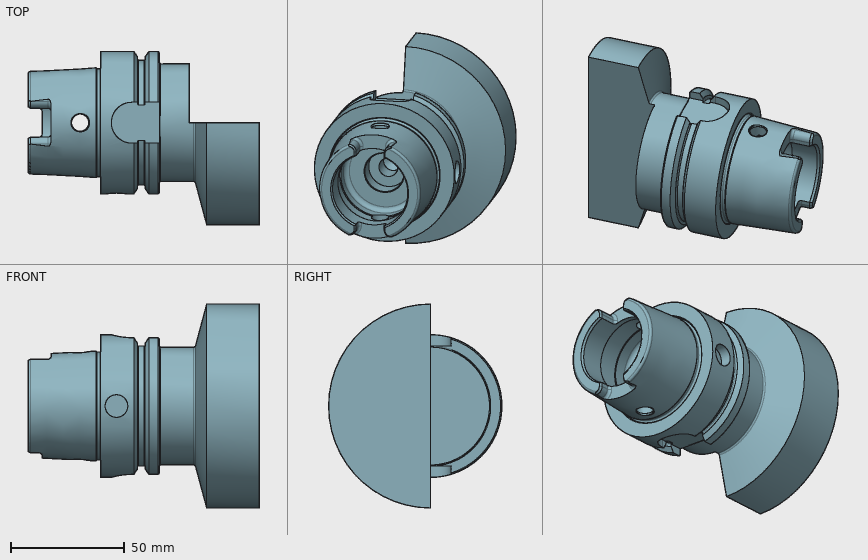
import cadquery as cq
import math

TOTAL_LENGTH = 101.9
TAPER_END = 29.9
FLANGE_FACE = 32.0
FLANGE_END = 57.9
NECK_END = 71.0
HEAD_START = 78.7

TAPER_TIP_RADIUS = 22.7
TAPER_END_RADIUS = 24.3
UNDERCUT_RADIUS = 23.8
FLANGE_RADIUS = 31.5
NECK_RADIUS = 26.0
HEAD_DIAMETER = 90.0
HEAD_RADIUS = HEAD_DIAMETER / 2
HEAD_BACK_ANGLE = 15.0

TIP_ROUND = 1.1
UNDERCUT_RAMP = 0.5
FACE_RECESS_RADIUS = 25.2
FACE_RECESS_DEPTH = 0.4
FLANGE_CHAMFER = 0.6
NECK_ROOT_FILLET = 0.5
HEAD_ROOT_FILLET = 0.8

GROOVE_LEFT = 48.2
GROOVE_RIGHT = 51.6
GROOVE_RADIUS = 27.6
GROOVE_LIP_RADIUS = 29.1
GROOVE_LIP_LENGTH = 1.6
GROOVE_FILLET = 0.4

BORE_RADIUS = 16.9
BORE_LENGTH = 12.7
CHAMBER_RADIUS = 18.4
CHAMBER_END_RADIUS = 17.9
CHAMBER_STEP = 24.2
CHAMBER_FILLET = 2.2
CHAMBER_END = 32.0
THREAD_RADIUS = 8.8
THREAD_CHAMFER = 0.3
THREAD_END = 40.8
DRILL_RADIUS = 4.2
DRILL_END = 51.0
DRILL_TIP_ANGLE = 118.0

LEAD_IN_LENGTH = 1.1
LEAD_IN_WIDTH = 0.6

NOTCH_HALF_WIDTH = 6.3
NOTCH_CORNER_RADIUS = 3.1
NOTCH_SHOULDER = 20.7
NOTCH_FLOOR_FILLET = 1.3
TOP_NOTCH_DEPTH = 10.1
BOTTOM_NOTCH_DEPTH = 6.1

CROSS_HOLE_X = 22.9
CROSS_HOLE_DIAMETER = 7.5
CROSS_HOLE_SINK_WIDTH = 0.4
CROSS_HOLE_SINK_DEPTH = 0.9

KEYWAY_START = 36.7
KEYWAY_WIDTH = 18.0
KEYWAY_FLOOR = 26.5
CHIP_X = 38.9
CHIP_DIAMETER = 10.0
CHIP_DEPTH = 5.1


def revolve_about_x(profile):
    """Full turn of a closed (x, radius) profile about the X axis."""
    return profile.close().revolve(360, (0, 0, 0), (1, 0, 0))


def make_shank_and_neck():
    ramp_end = TAPER_END + UNDERCUT_RAMP
    recess_floor = FLANGE_FACE + FACE_RECESS_DEPTH
    recess_bottom_radius = FACE_RECESS_RADIUS - FACE_RECESS_DEPTH
    recess_fillet = recess_bottom_radius - UNDERCUT_RADIUS
    profile = (
        cq.Workplane("XZ")
        .moveTo(0, 0)
        .lineTo(0, TAPER_TIP_RADIUS - TIP_ROUND)
        .radiusArc((TIP_ROUND, TAPER_TIP_RADIUS), TIP_ROUND)
        .lineTo(TAPER_END, TAPER_END_RADIUS)
        .lineTo(ramp_end, UNDERCUT_RADIUS)
        .lineTo(recess_floor - recess_fillet, UNDERCUT_RADIUS)
        .radiusArc((recess_floor, recess_bottom_radius), -recess_fillet)
        .lineTo(FLANGE_FACE, FACE_RECESS_RADIUS)
        .lineTo(FLANGE_FACE, FLANGE_RADIUS)
        .lineTo(GROOVE_LEFT - GROOVE_LIP_LENGTH, FLANGE_RADIUS)
        .lineTo(GROOVE_LEFT, GROOVE_LIP_RADIUS)
        .lineTo(GROOVE_LEFT, GROOVE_RADIUS + GROOVE_FILLET)
        .radiusArc((GROOVE_LEFT + GROOVE_FILLET, GROOVE_RADIUS), -GROOVE_FILLET)
        .lineTo(GROOVE_RIGHT - GROOVE_FILLET, GROOVE_RADIUS)
        .radiusArc((GROOVE_RIGHT, GROOVE_RADIUS + GROOVE_FILLET), -GROOVE_FILLET)
        .lineTo(GROOVE_RIGHT, GROOVE_LIP_RADIUS)
        .lineTo(GROOVE_RIGHT + GROOVE_LIP_LENGTH, FLANGE_RADIUS)
        .lineTo(FLANGE_END - FLANGE_CHAMFER, FLANGE_RADIUS)
        .lineTo(FLANGE_END, FLANGE_RADIUS - FLANGE_CHAMFER)
        .lineTo(FLANGE_END, NECK_RADIUS + NECK_ROOT_FILLET)
        .radiusArc((FLANGE_END + NECK_ROOT_FILLET, NECK_RADIUS), -NECK_ROOT_FILLET)
        .lineTo(NECK_END, NECK_RADIUS)
        .lineTo(NECK_END, 0)
    )
    return revolve_about_x(profile)


def make_half_head():
    """Head on the -Y side only, with a conical back blended into the neck."""
    back_angle = math.radians(HEAD_BACK_ANGLE)
    root_x = HEAD_START - (HEAD_RADIUS - NECK_RADIUS) * math.tan(back_angle)
    tangent = HEAD_ROOT_FILLET * math.tan((math.pi / 2 - back_angle) / 2)
    blend_end = (
        root_x + tangent * math.sin(back_angle),
        NECK_RADIUS + tangent * math.cos(back_angle),
    )
    profile = (
        cq.Workplane("XZ")
        .moveTo(FLANGE_END, 0)
        .lineTo(FLANGE_END, NECK_RADIUS)
        .lineTo(root_x - tangent, NECK_RADIUS)
        .radiusArc(blend_end, -HEAD_ROOT_FILLET)
        .lineTo(HEAD_START, HEAD_RADIUS)
        .lineTo(TOTAL_LENGTH, HEAD_RADIUS)
        .lineTo(TOTAL_LENGTH, 0)
    )
    kept_half = cq.Workplane("XY").box(
        TOTAL_LENGTH, 2 * HEAD_RADIUS, 2 * HEAD_RADIUS, centered=(False, False, True)
    ).translate((0, -2 * HEAD_RADIUS, 0))
    return revolve_about_x(profile).intersect(kept_half)


def make_bore():
    drill_tip = DRILL_END + DRILL_RADIUS / math.tan(math.radians(DRILL_TIP_ANGLE / 2))
    profile = (
        cq.Workplane("XZ")
        .moveTo(0, 0)
        .lineTo(0, BORE_RADIUS + LEAD_IN_WIDTH)
        .lineTo(LEAD_IN_LENGTH, BORE_RADIUS)
        .lineTo(BORE_LENGTH, BORE_RADIUS)
        .lineTo(BORE_LENGTH, CHAMBER_RADIUS)
        .lineTo(CHAMBER_STEP, CHAMBER_RADIUS)
        .lineTo(CHAMBER_STEP, CHAMBER_END_RADIUS)
        .lineTo(CHAMBER_END - CHAMBER_FILLET, CHAMBER_END_RADIUS)
        .radiusArc((CHAMBER_END, CHAMBER_END_RADIUS - CHAMBER_FILLET), CHAMBER_FILLET)
        .lineTo(CHAMBER_END, THREAD_RADIUS + THREAD_CHAMFER)
        .lineTo(CHAMBER_END + THREAD_CHAMFER, THREAD_RADIUS)
        .lineTo(THREAD_END, THREAD_RADIUS)
        .lineTo(THREAD_END, DRILL_RADIUS)
        .lineTo(DRILL_END, DRILL_RADIUS)
        .lineTo(drill_tip, 0)
    )
    return revolve_about_x(profile)


def notch_outline():
    """Notch section: straight walls that flare outward over rounded shoulders."""
    wall_end = NOTCH_SHOULDER - NOTCH_CORNER_RADIUS
    flare = NOTCH_HALF_WIDTH + NOTCH_CORNER_RADIUS
    outer = FLANGE_RADIUS
    return (
        cq.Workplane("YZ")
        .moveTo(-NOTCH_HALF_WIDTH, 0)
        .lineTo(-NOTCH_HALF_WIDTH, wall_end)
        .radiusArc((-flare, NOTCH_SHOULDER), -NOTCH_CORNER_RADIUS)
        .lineTo(-outer, NOTCH_SHOULDER)
        .lineTo(-outer, outer)
        .lineTo(outer, outer)
        .lineTo(outer, NOTCH_SHOULDER)
        .lineTo(flare, NOTCH_SHOULDER)
        .radiusArc((NOTCH_HALF_WIDTH, wall_end), -NOTCH_CORNER_RADIUS)
        .lineTo(NOTCH_HALF_WIDTH, 0)
        .close()
    )


def make_notch(depth):
    """Notch on the +Z side, filleted at its floor and eased at the tip."""
    slot = notch_outline().extrude(depth).faces(">X").edges().fillet(NOTCH_FLOOR_FILLET)
    lead_in_angle = math.degrees(math.atan2(LEAD_IN_WIDTH, LEAD_IN_LENGTH))
    lead_in = notch_outline().offset2D(LEAD_IN_WIDTH).extrude(LEAD_IN_LENGTH, taper=lead_in_angle)
    return slot.union(lead_in)


def make_cross_hole():
    """Hole along Z with a countersink at each end on the taper."""
    radius = CROSS_HOLE_DIAMETER / 2
    slope = (TAPER_END_RADIUS - TAPER_TIP_RADIUS) / (TAPER_END - TIP_ROUND)
    mouth = TAPER_TIP_RADIUS + slope * (CROSS_HOLE_X - TIP_ROUND)
    hole = cq.Workplane("XY").circle(radius).extrude(FLANGE_RADIUS, both=True)
    sink_angle = math.degrees(math.atan2(CROSS_HOLE_SINK_WIDTH, CROSS_HOLE_SINK_DEPTH))
    sink = (
        cq.Workplane("XY", origin=(0, 0, mouth))
        .circle(radius + CROSS_HOLE_SINK_WIDTH)
        .extrude(-CROSS_HOLE_SINK_DEPTH, taper=sink_angle)
    )
    hole = hole.union(sink).union(sink.mirror("XY"))
    return hole.translate((CROSS_HOLE_X, 0, 0))


def make_keyway():
    """Round-ended keyway on the +Z side, open at the back of the flange."""
    radius = KEYWAY_WIDTH / 2
    round_center = KEYWAY_START + radius
    return (
        cq.Workplane("XY", origin=(0, 0, KEYWAY_FLOOR))
        .moveTo(FLANGE_END, -radius)
        .lineTo(round_center, -radius)
        .threePointArc((KEYWAY_START, 0), (round_center, radius))
        .lineTo(FLANGE_END, radius)
        .close()
        .extrude(FLANGE_RADIUS - KEYWAY_FLOOR)
    )


def make_chip_pocket():
    return (
        cq.Workplane("XZ", origin=(CHIP_X, -(FLANGE_RADIUS - CHIP_DEPTH), 0))
        .circle(CHIP_DIAMETER / 2)
        .extrude(CHIP_DEPTH)
    )


def to_bottom(tool):
    """Half turn about X, taking a +Z feature to the -Z side."""
    return tool.rotate((0, 0, 0), (1, 0, 0), 180)


body = make_shank_and_neck().union(make_half_head())
cutters = [
    make_bore(),
    make_notch(TOP_NOTCH_DEPTH),
    to_bottom(make_notch(BOTTOM_NOTCH_DEPTH)),
    make_cross_hole(),
    make_keyway(),
    to_bottom(make_keyway()),
    make_chip_pocket(),
]
for cutter in cutters:
    body = body.cut(cutter)

result = body